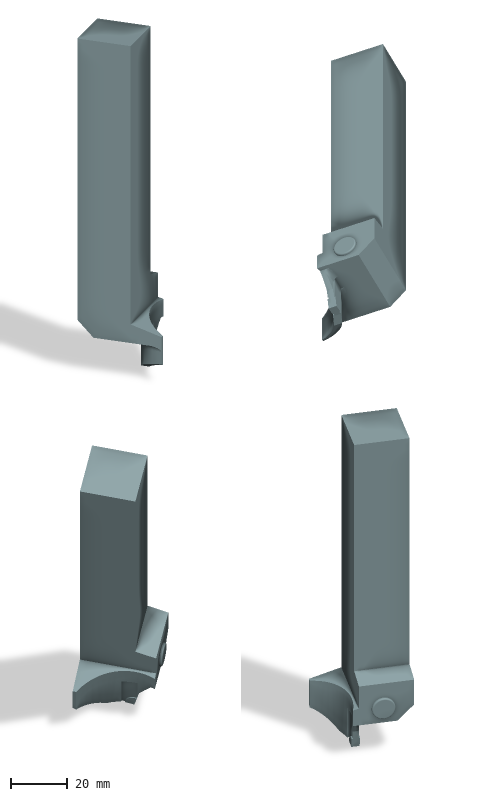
import cadquery as cq

total_height = 126.4
shank_side = 20.0
total_width = 31.7
head_depth = 27.4

head_bottom = 13.6
corner_width = 6.1
corner_height = 6.0
side_ledge_z = 20.6
side_tip_z = 17.5
back_ledge_z = 31.7
back_tip_z = 30.0
ledge_width = 0.5

blade_x = 18.3
outer_radius = 18.8
inner_radius = 22.0
inner_x = 20.8
inner_center_y = 20.2
blade_bottom = 1.1
blade_front_z = 7.2
blade_slope_y = 10.5
root_radius = 1.8

insert_front_y = 15.2
insert_back_y = 20.8
insert_thickness = 2.3
insert_heel_z = 0.6
cutting_edge_y = 19.8
tip_side_step = 0.4
tip_radius = 3.4
seat_end_z = 4.5

jaw_root_y = 25.9
jaw_knee_y = 21.5
jaw_knee_z = 7.5

screw_diameter = 8.5
screw_x = 11.1
screw_z = 19.8
screw_projection = 1.0
screw_rim = 0.5

outer_center = (blade_x + outer_radius, (insert_front_y + insert_back_y) / 2)
inner_center = (inner_x + inner_radius, inner_center_y)


def x_prism(points, start, length):
    """Extrude a (Y, Z) outline along +X."""
    return cq.Workplane("YZ").workplane(offset=start).polyline(points).close().extrude(length)


def z_cylinder(center, radius, height):
    return cq.Workplane("XY").center(*center).circle(radius).extrude(height)


def make_shank_and_head():
    side_outline = [
        (corner_width, head_bottom),
        (total_width, head_bottom),
        (total_width, side_tip_z),
        (shank_side + ledge_width, side_ledge_z),
        (shank_side, side_ledge_z),
        (shank_side, total_height),
        (0, total_height),
        (0, head_bottom + corner_height),
    ]
    back_outline = [
        (0, head_bottom),
        (head_depth, head_bottom),
        (head_depth, back_tip_z),
        (shank_side + ledge_width, back_ledge_z),
        (shank_side, back_ledge_z),
        (shank_side, total_height),
        (0, total_height),
    ]
    sides = cq.Workplane("XZ").polyline(side_outline).close().extrude(-head_depth)
    return sides.intersect(x_prism(back_outline, 0, total_width))


def make_root_fillet():
    """Concave ring that blends the convex blade face into the head."""
    start = (outer_radius, head_bottom - root_radius)
    middle_offset = root_radius * (1 - 0.5 ** 0.5)
    middle = (outer_radius + middle_offset, head_bottom - middle_offset)
    end = (outer_radius + root_radius, head_bottom)
    ring = (
        cq.Workplane("XZ")
        .moveTo(*start)
        .threePointArc(middle, end)
        .lineTo(outer_radius, head_bottom)
        .close()
        .revolve(360, (0, 0, 0), (0, 1, 0))
    )
    return ring.translate((*outer_center, 0))


def make_blade():
    outline = [
        (0, head_bottom),
        (0, blade_front_z),
        (blade_slope_y, blade_bottom),
        (insert_back_y, blade_bottom),
        (insert_back_y, seat_end_z),
        (jaw_knee_y, jaw_knee_z),
        (jaw_root_y, head_bottom),
    ]
    profile = x_prism(outline, 0, total_width)
    round_face = z_cylinder(outer_center, outer_radius, head_bottom)
    return round_face.union(make_root_fillet()).intersect(profile)


def make_insert_slot():
    """Slot through the whole blade thickness, closed above by the head."""
    slot_width = insert_back_y - insert_front_y
    slot = cq.Workplane("XY").box(total_width, slot_width, head_bottom, centered=False)
    return slot.translate((0, insert_front_y, 0))


def make_screw_head():
    return (
        cq.Workplane("XZ", origin=(screw_x, head_depth, screw_z))
        .circle(screw_diameter / 2)
        .extrude(-screw_projection)
        .faces(">Y")
        .edges()
        .fillet(screw_rim)
    )


def make_holder():
    concave_face = z_cylinder(inner_center, inner_radius, total_height)
    return (
        make_shank_and_head()
        .union(make_blade())
        .cut(concave_face)
        .cut(make_insert_slot())
        .union(make_screw_head())
    )


def make_insert():
    outline = [
        (insert_front_y, head_bottom),
        (insert_front_y, insert_heel_z),
        (cutting_edge_y, 0),
        (insert_back_y, seat_end_z),
        (insert_back_y, head_bottom),
    ]
    shaft = x_prism(outline, blade_x, insert_thickness)
    tip_start = blade_x - tip_side_step
    tip_thickness = insert_thickness + 2 * tip_side_step
    tip_disc = (
        cq.Workplane("YZ", origin=(tip_start, cutting_edge_y, insert_heel_z))
        .circle(tip_radius)
        .extrude(tip_thickness)
    )
    tip = x_prism(outline, tip_start, tip_thickness).intersect(tip_disc)
    return shaft.union(tip)


holder = make_holder()
insert = make_insert()
result = cq.Compound.makeCompound([holder.solids().val(), insert.solids().val()])